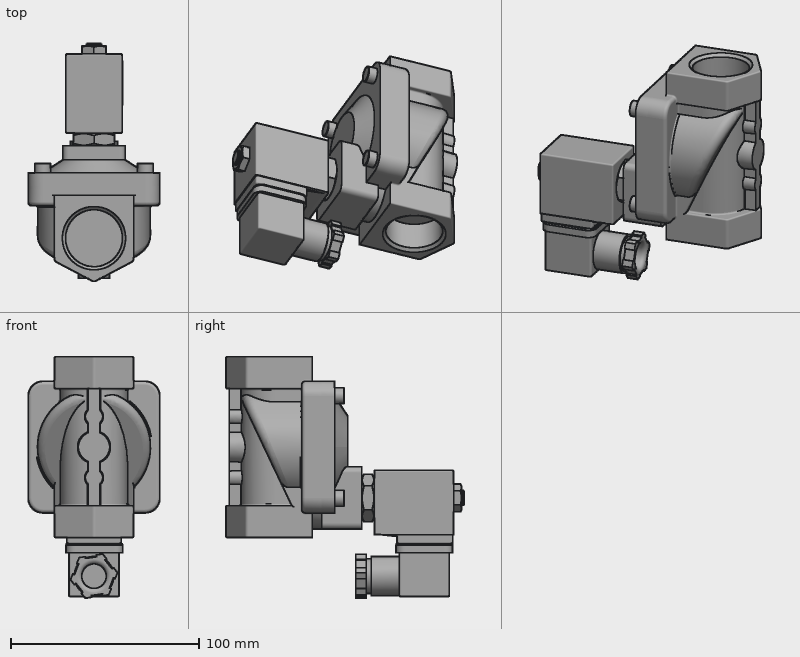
import math

import cadquery as cq


OVERLAP = 1.0

BODY_HALF_LENGTH = 48.0
BLOCK_HEIGHT = 17.0
BLOCK_INNER_Z = BODY_HALF_LENGTH - BLOCK_HEIGHT
BLOCK_HALF_WIDTH = 21.0
BLOCK_BACK_Y = 22.8
BLOCK_SHOULDER_Y = -12.2
BLOCK_TIP_Y = -23.25
BLOCK_CORNER_RADIUS = 2.0
BLOCK_EDGE_RADIUS = 0.8
BORE_RADIUS = 15.1
BORE_DEPTH = 17.0
BORE_CHAMFER = 1.7

TUBE_RADIUS = 18.0
TUBE_CENTER_Y = 2.9
CHAMBER_RADIUS = 30.0
CHAMBER_RIM_RADIUS = 4.0
SLANT_TOP_Y = -14.2
SLANT_TOP_Z = 23.9
SLANT_ANGLE = 25.4
WEDGE_TOP_Z = -10.0
WEDGE_EDGE_RADIUS = 0.8

RIB_FACE_Y = -21.3
RIB_ROOT_Y = -10.0
RIB_HALF_WIDTH = 3.0
RIB_END_Z = BLOCK_INNER_Z + BLOCK_EDGE_RADIUS
RIB_DRAFT = 3.0
RIB_FOOT_SPREAD = 0.7
RIB_FOOT_HEIGHT = 0.7
CENTER_PAD_RADIUS = 8.3
SIDE_PAD_RADIUS = 4.6
SIDE_PAD_Z = 16.2

FLANGE_SIZE = 70.0
FLANGE_CORNER_RADIUS = 8.0
FLANGE_FRONT_Y = 17.2
FLANGE_EDGE_RADIUS = 2.0
COVER_JOINT_Y = 27.8
COVER_BACK_Y = 34.7
ROOT_RADIUS = 0.9
DOME_BACK_Y = 41.7
DOME_BASE_RADIUS = 27.3
DOME_TOP_RADIUS = 16.4
BOLT_SPACING = 54.5
BOLT_HEAD_RADIUS = 4.25
BOLT_HEAD_HEIGHT = 5.0
BOLT_HEAD_CHAMFER = 0.3

PILOT_Z = -27.0
SEAT_SIZE = 33.2
SEAT_CORNER_RADIUS = 3.2
SEAT_BACK_Y = 49.1
LARGE_NUT_FLATS = 22.0
SMALL_NUT_FLATS = 12.9
SMALL_NUT_HEIGHT = 4.3
NUT_FACE_RATIO = 0.96
NUT_CHAMFER_ANGLE = 30.0
STUD_RADIUS = 4.0
STUD_CHAMFER = 0.5
STUD_END_Y = 103.34

COIL_FRONT_Y = 55.7
COIL_BACK_Y = 97.8
COIL_HALF_WIDTH = 15.0
COIL_TOP_Z = -12.2
COIL_BOTTOM_Z = -46.4
COIL_EDGE_RADIUS = 0.9

ADAPTER_BACK_Y = 97.4
ADAPTER_FRONT_Y = 67.7
ADAPTER_HALF_WIDTH = 14.5
ADAPTER_CORNER_RADIUS = 1.3
ADAPTER_EDGE_RADIUS = 0.9
ADAPTER_BOTTOM_Z = -51.3
GUSSET_FRONT_Y = 58.0
GUSSET_DROP = 1.2
GASKET_SIZE = 30.2
GASKET_CENTER_X = 0.2
GASKET_CORNER_RADIUS = 4.7
GASKET_BOTTOM_Z = -56.2
GASKET_CHAMFER_HEIGHT = 0.9
GASKET_CHAMFER_WIDTH = 0.3
PLUG_CENTER_Y = 82.25
PLUG_SIZE = 26.6
PLUG_BOTTOM_Z = -79.3
PLUG_CORNER_RADIUS = 1.2
PLUG_EDGE_RADIUS = 0.7

GLAND_Z = -68.5
GLAND_BARREL_RADIUS = 10.5
GLAND_BARREL_END_Y = 54.0
GLAND_NECK_RADIUS = 9.3
GLAND_NUT_BACK_Y = 51.5
GLAND_NUT_FRONT_Y = 45.8
GLAND_NUT_CORNER_RADIUS = 12.62
GLAND_NUT_TURN = 8.6
GLAND_RECESS_DEPTH = 1.0
GLAND_RECESS_START = 0.27
GLAND_MOUTH_RADIUS = 9.0
GLAND_HOLE_RADIUS = 6.5


def y_plane(y, z=0.0, x=0.0):
    """Workplane facing +Y; its local x is global Z and its local y is global X."""
    return cq.Workplane("ZX", origin=(x, y, z))


def y_cylinder(radius, y_start, y_end, z=0.0, x=0.0):
    return y_plane(y_start, z, x).circle(radius).extrude(y_end - y_start)


def box_between(x_range, y_range, z_range):
    """Box spanning the given (low, high) ranges."""
    ranges = (x_range, y_range, z_range)
    sizes = [high - low for low, high in ranges]
    corner = cq.Vector(*[low for low, high in ranges])
    return cq.Workplane(cq.Solid.makeBox(*sizes, pnt=corner))


def slant_y(z):
    """Y of the slanted chamber floor at height z."""
    return SLANT_TOP_Y + (SLANT_TOP_Z - z) * math.tan(math.radians(SLANT_ANGLE))


def behind_slant(half_width, z_low, z_high, y_back):
    """Prism across X between the slanted floor and a flat back."""
    outline = [
        (slant_y(z_low), z_low),
        (slant_y(z_high), z_high),
        (y_back, z_high),
        (y_back, z_low),
    ]
    return cq.Workplane("YZ").polyline(outline).close().extrude(half_width, both=True)


def end_block(z_low):
    """Pointed end block with rounded corners and end edges; its back edges stay sharp."""
    outline = [
        (-BLOCK_HALF_WIDTH, BLOCK_BACK_Y),
        (-BLOCK_HALF_WIDTH, BLOCK_SHOULDER_Y),
        (0, BLOCK_TIP_Y),
        (BLOCK_HALF_WIDTH, BLOCK_SHOULDER_Y),
        (BLOCK_HALF_WIDTH, BLOCK_BACK_Y),
    ]
    block = cq.Workplane("XY", origin=(0, 0, z_low)).polyline(outline).close().extrude(BLOCK_HEIGHT)
    block = block.edges("|Z").edges("not(>Y)").fillet(BLOCK_CORNER_RADIUS)
    return block.faces("<Z or >Z").edges("not(>Y)").fillet(BLOCK_EDGE_RADIUS)


def chamber():
    """Round diaphragm chamber ending on the slanted floor with a rounded rim."""
    barrel = y_cylinder(CHAMBER_RADIUS, -2 * CHAMBER_RADIUS, FLANGE_FRONT_Y + OVERLAP)
    half_size = CHAMBER_RADIUS + OVERLAP
    cutter = behind_slant(half_size, -half_size, half_size, BLOCK_BACK_Y)
    return barrel.intersect(cutter).edges("<Y").fillet(CHAMBER_RIM_RADIUS)


def lower_wedge():
    """Web at full block width joining the lower block to the chamber."""
    z_low = -BLOCK_INNER_Z - 2 * BLOCK_EDGE_RADIUS
    wedge = behind_slant(BLOCK_HALF_WIDTH, z_low, WEDGE_TOP_Z, BLOCK_BACK_Y)
    return wedge.faces("<Y").edges("<X or >X").fillet(WEDGE_EDGE_RADIUS)


def flange():
    depth = COVER_JOINT_Y - FLANGE_FRONT_Y
    plate = y_plane(FLANGE_FRONT_Y).rect(FLANGE_SIZE, FLANGE_SIZE).extrude(depth)
    plate = plate.edges("|Y").fillet(FLANGE_CORNER_RADIUS)
    return plate.faces("<Y").edges().fillet(FLANGE_EDGE_RADIUS)


def flow_tube():
    """Round tube between the end blocks, with a flat-sided neck towards the flange."""
    half_length = BLOCK_INNER_Z + OVERLAP
    tube = cq.Workplane("XY", origin=(0, TUBE_CENTER_Y, -half_length)).circle(TUBE_RADIUS)
    tube = tube.extrude(2 * half_length)
    neck = box_between(
        (-TUBE_RADIUS, TUBE_RADIUS),
        (TUBE_CENTER_Y, BLOCK_BACK_Y),
        (-half_length, half_length),
    )
    return tube.union(neck)


def drafted(sketch):
    """Extrude a sketch on the rib face back to the tube, widening with the draft."""
    return sketch.extrude(RIB_ROOT_Y - RIB_FACE_Y, taper=-RIB_DRAFT)


def rib_foot(z_low):
    """Flared foot of the rib where it stands on the tube between a side pad and an end block."""
    tube_front_y = TUBE_CENTER_Y - TUBE_RADIUS
    foot_half_width = RIB_HALF_WIDTH + RIB_FOOT_SPREAD
    outline = [
        (-RIB_HALF_WIDTH, tube_front_y - RIB_FOOT_HEIGHT),
        (RIB_HALF_WIDTH, tube_front_y - RIB_FOOT_HEIGHT),
        (foot_half_width, tube_front_y + RIB_FOOT_HEIGHT),
        (-foot_half_width, tube_front_y + RIB_FOOT_HEIGHT),
    ]
    foot = cq.Workplane("XY", origin=(0, 0, z_low)).polyline(outline).close()
    return foot.extrude(RIB_END_Z - SIDE_PAD_Z)


def front_rib():
    rib = drafted(y_plane(RIB_FACE_Y).rect(2 * RIB_END_Z, 2 * RIB_HALF_WIDTH))
    rib = rib.union(drafted(y_plane(RIB_FACE_Y).circle(CENTER_PAD_RADIUS)))
    for z in (-SIDE_PAD_Z, SIDE_PAD_Z):
        rib = rib.union(drafted(y_plane(RIB_FACE_Y, z).circle(SIDE_PAD_RADIUS)))
    return rib.union(rib_foot(SIDE_PAD_Z)).union(rib_foot(-RIB_END_Z))


def port_bore(side):
    """Blind port with a chamfered mouth; side is +1 for the upper end, -1 for the lower."""
    mouth_radius = BORE_RADIUS + BORE_CHAMFER
    outline = [
        (0, BODY_HALF_LENGTH),
        (mouth_radius, BODY_HALF_LENGTH),
        (BORE_RADIUS, BODY_HALF_LENGTH - BORE_CHAMFER),
        (BORE_RADIUS, BODY_HALF_LENGTH - BORE_DEPTH),
        (0, BODY_HALF_LENGTH - BORE_DEPTH),
    ]
    points = [(radius, side * z) for radius, z in outline]
    return cq.Workplane("XZ").polyline(points).close().revolve(360, (0, 0, 0), (0, 1, 0))


def blend_roots(body):
    """Round the inner corners where the chamber meets the flange and the tube meets the end blocks."""
    tolerance = 0.1
    half_width = CHAMBER_RADIUS - FLANGE_EDGE_RADIUS
    half_height = FLANGE_SIZE / 2 - FLANGE_EDGE_RADIUS - tolerance
    roots = cq.selectors.BoxSelector(
        (-half_width, FLANGE_FRONT_Y - tolerance, -half_height),
        (half_width, FLANGE_FRONT_Y + tolerance, half_height),
    )
    for z in (-BLOCK_INNER_Z, BLOCK_INNER_Z):
        roots = roots + cq.selectors.BoxSelector(
            (-TUBE_RADIUS - tolerance, TUBE_CENTER_Y - TUBE_RADIUS, z - tolerance),
            (TUBE_RADIUS + tolerance, FLANGE_FRONT_Y - 2 * ROOT_RADIUS, z + tolerance),
        )
    return body.edges(roots).fillet(ROOT_RADIUS)


def valve_body():
    body = flange().union(chamber()).union(flow_tube()).union(lower_wedge())
    body = body.union(end_block(BLOCK_INNER_Z)).union(end_block(-BODY_HALF_LENGTH))
    body = blend_roots(body).union(front_rib())
    for side in (-1, 1):
        body = body.cut(port_bore(side))
    return body


def cover():
    """Cover plate with domed back and four bolt heads."""
    depth = COVER_BACK_Y - COVER_JOINT_Y
    plate = y_plane(COVER_JOINT_Y).rect(FLANGE_SIZE, FLANGE_SIZE).extrude(depth)
    plate = plate.edges("|Y").fillet(FLANGE_CORNER_RADIUS)
    dome_outline = [
        (0, COVER_BACK_Y),
        (DOME_BASE_RADIUS, COVER_BACK_Y),
        (DOME_TOP_RADIUS, DOME_BACK_Y),
        (0, DOME_BACK_Y),
    ]
    dome = cq.Workplane("XY").polyline(dome_outline).close().revolve(360, (0, 0, 0), (0, 1, 0))
    plate = plate.union(dome)
    for x in (-BOLT_SPACING / 2, BOLT_SPACING / 2):
        for z in (-BOLT_SPACING / 2, BOLT_SPACING / 2):
            head = y_cylinder(BOLT_HEAD_RADIUS, COVER_BACK_Y, COVER_BACK_Y + BOLT_HEAD_HEIGHT, z, x)
            plate = plate.union(head.faces(">Y").chamfer(BOLT_HEAD_CHAMFER))
    return plate


def pilot_seat():
    """Square seat for the pilot, backed by a round foot beside the lower block."""
    seat = y_plane(COVER_JOINT_Y, PILOT_Z).rect(SEAT_SIZE, SEAT_SIZE).extrude(SEAT_BACK_Y - COVER_JOINT_Y)
    seat = seat.edges("|Y").fillet(SEAT_CORNER_RADIUS)
    foot = y_cylinder(SEAT_SIZE / 2, FLANGE_FRONT_Y + FLANGE_EDGE_RADIUS, COVER_JOINT_Y, PILOT_Z)
    return seat.union(foot)


def hex_nut(flats, y_start, y_end, chamfer_both_ends):
    """Hexagonal nut on the pilot axis, points up and down, chamfered at its back or at both ends."""
    corner_radius = flats / math.sqrt(3)
    face_radius = NUT_FACE_RATIO * flats / 2
    drop = (corner_radius - face_radius) * math.tan(math.radians(NUT_CHAMFER_ANGLE))
    nut = y_plane(y_start, PILOT_Z).polygon(6, 2 * corner_radius).extrude(y_end - y_start)
    if chamfer_both_ends:
        front = [(face_radius, y_start), (corner_radius, y_start + drop)]
    else:
        front = [(corner_radius, y_start)]
    back = [(corner_radius, y_end - drop), (face_radius, y_end)]
    outline = [(0, y_start), *front, *back, (0, y_end)]
    envelope = (
        cq.Workplane("XY", origin=(0, 0, PILOT_Z))
        .polyline(outline)
        .close()
        .revolve(360, (0, 0, 0), (0, 1, 0))
    )
    return nut.intersect(envelope)


def coil():
    """Coil housing with its nuts and end stud."""
    housing = box_between(
        (-COIL_HALF_WIDTH, COIL_HALF_WIDTH),
        (COIL_FRONT_Y, COIL_BACK_Y),
        (COIL_BOTTOM_Z, COIL_TOP_Z),
    )
    housing = housing.edges("|Z or >Z").fillet(COIL_EDGE_RADIUS)
    stud = y_cylinder(STUD_RADIUS, COIL_BACK_Y, STUD_END_Y, PILOT_Z).faces(">Y").chamfer(STUD_CHAMFER)
    housing = housing.union(stud)
    housing = housing.union(hex_nut(LARGE_NUT_FLATS, SEAT_BACK_Y, COIL_FRONT_Y, True))
    return housing.union(hex_nut(SMALL_NUT_FLATS, COIL_BACK_Y, COIL_BACK_Y + SMALL_NUT_HEIGHT, False))


def connector():
    """Adapter, gasket and plug housing hanging below the coil."""
    adapter = box_between(
        (-ADAPTER_HALF_WIDTH, ADAPTER_HALF_WIDTH),
        (ADAPTER_FRONT_Y, ADAPTER_BACK_Y),
        (ADAPTER_BOTTOM_Z, COIL_BOTTOM_Z + OVERLAP),
    )
    adapter = adapter.edges("|Z").fillet(ADAPTER_CORNER_RADIUS)
    adapter = adapter.faces("<Z").edges().fillet(ADAPTER_EDGE_RADIUS)
    gusset_outline = [
        (ADAPTER_FRONT_Y + ADAPTER_CORNER_RADIUS, COIL_BOTTOM_Z - GUSSET_DROP),
        (ADAPTER_FRONT_Y + ADAPTER_CORNER_RADIUS, COIL_BOTTOM_Z + OVERLAP),
        (GUSSET_FRONT_Y, COIL_BOTTOM_Z + OVERLAP),
        (GUSSET_FRONT_Y, COIL_BOTTOM_Z),
    ]
    gusset = cq.Workplane("YZ").polyline(gusset_outline).close()
    gusset = gusset.extrude(ADAPTER_HALF_WIDTH - ADAPTER_CORNER_RADIUS, both=True)
    gasket = (
        cq.Workplane("XY", origin=(GASKET_CENTER_X, PLUG_CENTER_Y, GASKET_BOTTOM_Z))
        .rect(GASKET_SIZE, GASKET_SIZE)
        .extrude(ADAPTER_BOTTOM_Z - GASKET_BOTTOM_Z)
        .edges("|Z")
        .fillet(GASKET_CORNER_RADIUS)
        .faces(">Z")
        .chamfer(GASKET_CHAMFER_HEIGHT, GASKET_CHAMFER_WIDTH)
    )
    plug = (
        cq.Workplane("XY", origin=(0, PLUG_CENTER_Y, PLUG_BOTTOM_Z))
        .rect(PLUG_SIZE, PLUG_SIZE)
        .extrude(GASKET_BOTTOM_Z - PLUG_BOTTOM_Z)
        .edges("|Z")
        .fillet(PLUG_CORNER_RADIUS)
        .faces("<Z")
        .edges()
        .fillet(PLUG_EDGE_RADIUS)
    )
    return adapter.union(gusset).union(gasket).union(plug)


def gland_nut_outline():
    """Points of a hexagon, as (z, x), with a shallow recess in the middle of every side."""
    points = []
    apothem = GLAND_NUT_CORNER_RADIUS * math.cos(math.pi / 6)
    half_side = GLAND_NUT_CORNER_RADIUS / 2
    recess_half = half_side * (1 - 2 * GLAND_RECESS_START)
    recess_apothem = apothem - GLAND_RECESS_DEPTH
    side_profile = [
        (apothem, -half_side),
        (apothem, -recess_half),
        (recess_apothem, -recess_half),
        (recess_apothem, recess_half),
        (apothem, recess_half),
    ]
    for side in range(6):
        middle = math.radians(GLAND_NUT_TURN + 30 + 60 * side)
        for out, along in side_profile:
            x = out * math.cos(middle) - along * math.sin(middle)
            z = out * math.sin(middle) + along * math.cos(middle)
            points.append((z, x))
    return points


def gland_mouth():
    """Cable hole as deep as the plug face, flaring to the nut face with a convex quarter round."""
    flare = GLAND_MOUTH_RADIUS - GLAND_HOLE_RADIUS
    hole_end_y = PLUG_CENTER_Y - PLUG_SIZE / 2
    diagonal = flare * (1 - math.sqrt(0.5))
    return (
        cq.Workplane("XY", origin=(0, 0, GLAND_Z))
        .moveTo(0, GLAND_NUT_FRONT_Y)
        .lineTo(GLAND_MOUTH_RADIUS, GLAND_NUT_FRONT_Y)
        .threePointArc(
            (GLAND_HOLE_RADIUS + diagonal, GLAND_NUT_FRONT_Y + diagonal),
            (GLAND_HOLE_RADIUS, GLAND_NUT_FRONT_Y + flare),
        )
        .lineTo(GLAND_HOLE_RADIUS, hole_end_y)
        .lineTo(0, hole_end_y)
        .close()
        .revolve(360, (0, 0, 0), (0, 1, 0))
    )


def cable_gland():
    gland = y_cylinder(GLAND_BARREL_RADIUS, GLAND_BARREL_END_Y, PLUG_CENTER_Y, GLAND_Z)
    gland = gland.union(y_cylinder(GLAND_NECK_RADIUS, GLAND_NUT_FRONT_Y, PLUG_CENTER_Y, GLAND_Z))
    nut = y_plane(GLAND_NUT_FRONT_Y, GLAND_Z).polyline(gland_nut_outline()).close()
    gland = gland.union(nut.extrude(GLAND_NUT_BACK_Y - GLAND_NUT_FRONT_Y))
    return gland.cut(gland_mouth())


result = valve_body()
for piece in (cover(), pilot_seat(), coil(), connector(), cable_gland()):
    result = result.union(piece, clean=False)